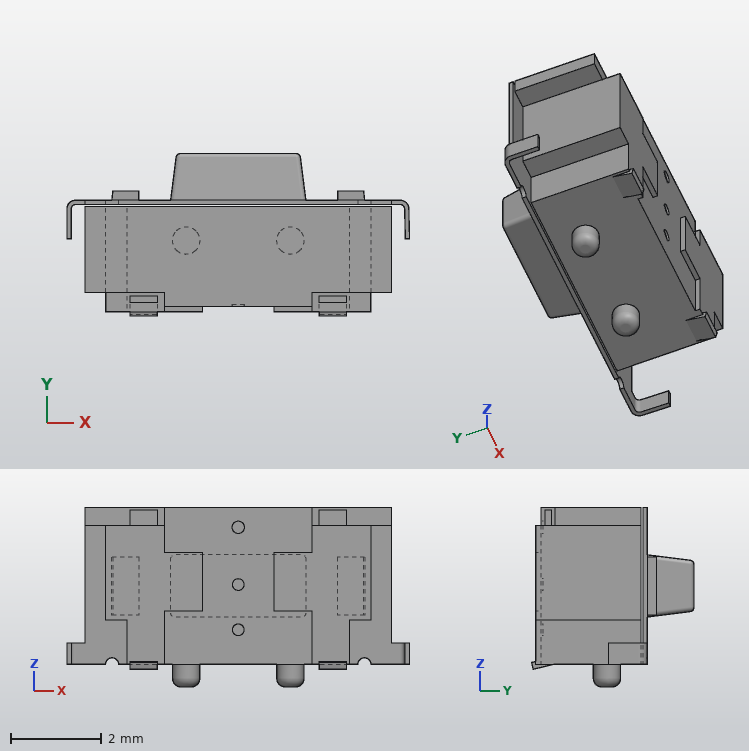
import cadquery as cq
import math


half_length = 3.401
height = 3.48

sheet = 0.1
gap = 0.04
lead_height = 0.48
lead_reach = 3.8
lead_depth = 0.86
lead_bend = 0.2
right_lead_flare = 0.015
notch_radius = 0.145
notch_x = 2.8

button_length = 3.0
button_height = 1.38
button_rise = 1.03
button_taper = 7.2
button_round = 0.1
raised_inner_x = 2.205
raised_outer_x = 2.805
raised_lean = 0.02
raised_rise = 0.205
raised_height = 1.29

housing_back = -(sheet + gap)
roof_front = -2.05
core_front = -2.36
block_front = -2.48
roof_bottom = 3.085
core_half = 1.635
block_half = 2.94
foot_half = 2.46
foot_height = 0.98
arm_half_gap = 0.79
arm_bottom = 1.185
arm_top = 2.485

dimple_depth = 0.045
dimple_radius = 0.13
top_dimple_radius = 0.14
dimple_heights = (0.77, 1.77)
top_dimple_height = 3.04

clip_width = 0.61
clip_x = 2.1
tab_back = -2.13
tab_front = -2.265
tab_top = 3.43
hook_start = -2.075
hook_length = 0.47
hook_thickness = 0.16
hook_tilt = 13.5

peg_x = 1.155
peg_y = -0.9
peg_radius = 0.305
peg_length = 0.5
peg_round = 0.19


def box_between(x0, x1, y0, y1, z0, z1):
    """Box spanning the given limits along X, Y and Z."""
    return cq.Workplane("XY").box(x1 - x0, y1 - y0, z1 - z0, centered=False).translate((x0, y0, z0))


def make_lead(side, flare):
    """Strip that leaves the plate edge, bends towards -Y and ends in a straight leg."""
    inner_bend = lead_bend - sheet
    bend_x = lead_reach - flare - lead_bend
    diagonal = math.sqrt(0.5)

    def bend_point(radius, across, down):
        return (side * (bend_x + radius * across), -lead_bend + radius * down)

    return (
        cq.Workplane("XY")
        .moveTo(side * half_length, 0)
        .lineTo(*bend_point(lead_bend, 0, 1))
        .threePointArc(bend_point(lead_bend, diagonal, diagonal), bend_point(lead_bend, 1, 0))
        .lineTo(side * lead_reach, -lead_depth)
        .lineTo(side * (lead_reach - sheet), -lead_depth)
        .lineTo(*bend_point(inner_bend, 1, 0))
        .threePointArc(bend_point(inner_bend, diagonal, diagonal), bend_point(inner_bend, 0, 1))
        .lineTo(side * half_length, -sheet)
        .close()
        .extrude(lead_height)
    )


def make_button():
    """Tapered push button with rounded side edges and rim."""
    return (
        cq.Workplane("XZ", origin=(0, 0, height / 2))
        .rect(button_length, button_height)
        .extrude(-button_rise, taper=button_taper)
        .edges("not <Y")
        .fillet(button_round)
    )


def make_raised_block(side):
    """Low block beside the button, with a leaning outer face."""
    outline = [
        (side * raised_inner_x, 0),
        (side * raised_outer_x, 0),
        (side * (raised_outer_x - raised_lean), raised_rise),
        (side * raised_inner_x, raised_rise),
    ]
    bottom = (height - raised_height) / 2
    return cq.Workplane("XY", origin=(0, 0, bottom)).polyline(outline).close().extrude(raised_height)


def make_cover():
    """Cover plate with its two leads, the button and the raised blocks."""
    cover = box_between(-half_length, half_length, -sheet, 0, 0, height)
    cover = cover.union(make_lead(-1, 0)).union(make_lead(1, right_lead_flare))
    cover = cover.union(make_button())
    for side in (-1, 1):
        cover = cover.union(make_raised_block(side))
    notches = cq.Workplane("XZ").pushPoints([(-notch_x, 0), (notch_x, 0)]).circle(notch_radius).extrude(sheet)
    return cover.cut(notches)


def make_side_block(side):
    """Stepped block at one end of the housing, with an arm over the core front."""
    outline = [
        (side * core_half, 0),
        (side * foot_half, 0),
        (side * foot_half, foot_height),
        (side * block_half, foot_height),
        (side * block_half, roof_bottom),
        (side * core_half, roof_bottom),
        (side * core_half, arm_top),
        (side * arm_half_gap, arm_top),
        (side * arm_half_gap, arm_bottom),
        (side * core_half, arm_bottom),
    ]
    return (
        cq.Workplane("XZ", origin=(0, housing_back, 0))
        .polyline(outline)
        .close()
        .extrude(housing_back - block_front)
    )


def make_clips(side):
    """Upright tab on top of a side block and tilted hook under it."""
    left = side * clip_x - clip_width / 2
    right = left + clip_width
    tab = box_between(left, right, tab_front, tab_back, roof_bottom, tab_top)
    hook = (
        box_between(left, right, hook_start - hook_length, hook_start, 0, hook_thickness)
        .rotate((0, hook_start, 0), (1, hook_start, 0), hook_tilt)
    )
    return tab.union(hook)


def make_peg(side):
    """Round locating peg with a rounded end, under the housing."""
    return (
        cq.Workplane("XY")
        .center(side * peg_x, peg_y)
        .circle(peg_radius)
        .extrude(-peg_length)
        .faces("<Z")
        .edges()
        .fillet(peg_round)
    )


def make_housing():
    """Housing: core, roof, side blocks, clips and pegs, with three dimples in the front."""
    housing = box_between(-core_half, core_half, core_front, housing_back, 0, height)
    housing = housing.union(
        box_between(-half_length, half_length, roof_front, housing_back, roof_bottom, height)
    )
    for side in (-1, 1):
        housing = housing.union(make_side_block(side)).union(make_clips(side)).union(make_peg(side))
    front = cq.Workplane("XZ", origin=(0, core_front, 0))
    dimples = front.pushPoints([(0, z) for z in dimple_heights]).circle(dimple_radius).extrude(-dimple_depth)
    top_dimple = front.center(0, top_dimple_height).circle(top_dimple_radius).extrude(-dimple_depth)
    return housing.cut(dimples).cut(top_dimple)


cover = make_cover()
housing = make_housing()
result = cq.Compound.makeCompound([cover.val(), housing.val()])